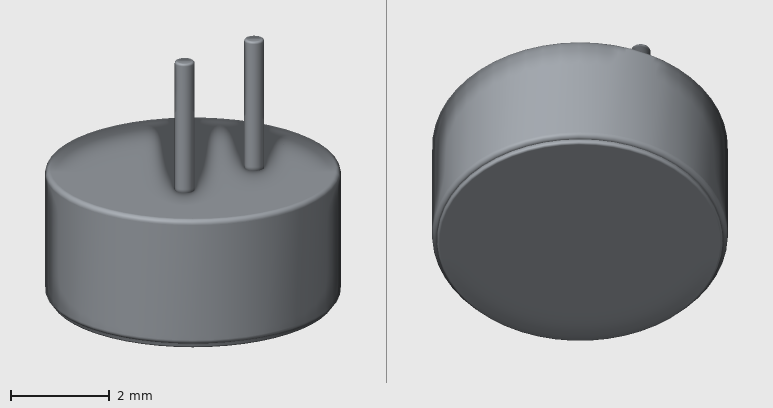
import cadquery as cq

housing_diameter = 6.0
housing_top = 2.8
housing_edge_radius = 0.1

base_thickness = 0.1
base_diameter = housing_diameter - 2 * housing_edge_radius
base_edge_radius = 0.05

board_diameter = 4.6
board_thickness = 0.4

pin_diameter = 0.4
pin_length = 2.795
pin_edge_radius = 0.05
pin_offset_x = 0.8
pin_spacing_y = 1.9

board_bottom = housing_top - board_thickness


def make_disc(diameter, bottom, height):
    """Upright cylinder on the Z axis."""
    return cq.Workplane("XY").workplane(offset=bottom).circle(diameter / 2).extrude(height)


def make_base():
    return make_disc(base_diameter, 0, base_thickness).faces("<Z").edges().fillet(base_edge_radius)


def make_housing():
    can = make_disc(housing_diameter, base_thickness, housing_top - base_thickness)
    can = can.edges("%CIRCLE").fillet(housing_edge_radius)
    return can.cut(make_disc(board_diameter, board_bottom, board_thickness))


def make_board():
    return make_disc(board_diameter, board_bottom, board_thickness)


def make_pin(y):
    pin = make_disc(pin_diameter, housing_top, pin_length)
    pin = pin.faces(">Z").edges().fillet(pin_edge_radius)
    return pin.translate((pin_offset_x, y, 0))


base = make_base()
housing = make_housing()
board = make_board()
pins = [make_pin(side * pin_spacing_y / 2) for side in (-1, 1)]

result = cq.Compound.makeCompound(
    [base.val(), housing.val(), board.val(), *[pin.val() for pin in pins]]
)